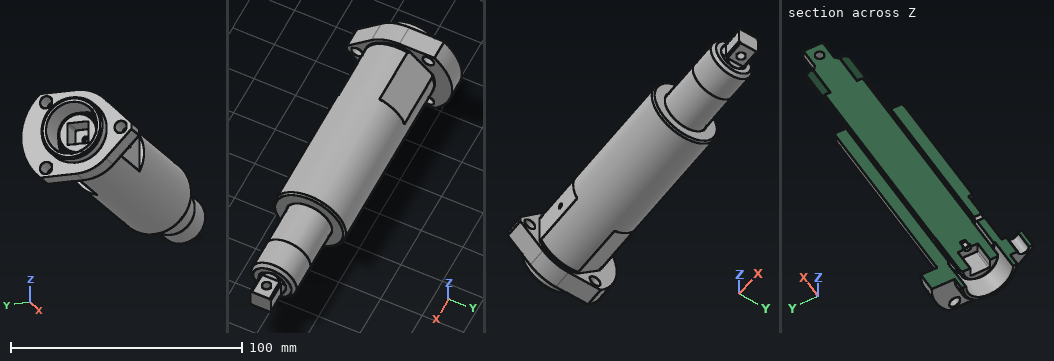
import cadquery as cq
import math

flange_front = 6.1
flange_back = 15.8
flat_end = 44.1
barrel_end = 104.5
sleeve_end = 125.5
cap_end = 140.7
square_start = 142.1
total_length = 152.2

nose_radius = 14.0
nose_chamfer = 0.8
barrel_diameter = 34.5
barrel_radius = barrel_diameter / 2
barrel_chamfer = 0.9
relief_width = 0.9
relief_depth = 0.2
mouth_radius = 11.7
mouth_end = flange_back
bore_diameter = 22.0
bore_radius = bore_diameter / 2
flange_radius = 25.4
flange_half_height = 19.0
flank_angle = 45.0
flange_hole_distance = 20.4
flange_hole_radius = 2.7

station_angles = (180.0, 47.0, -47.0)
flat_distance = 15.2

oil_hole_x = 31.5
oil_hole_radius = 1.14

sleeve_start = 31.2
sleeve_diameter = 21.8
sleeve_radius = sleeve_diameter / 2
cap_chamfer = 1.7

shaft_front = 8.0
shaft_radius = 9.5
shaft_chamfer = 0.9
neck_radius = 6.5
square_side = 9.9
socket_side = 9.7
socket_depth = 10.7
socket_corner = 0.6
pilot_radius = 1.7
pilot_depth = 1.5
pilot_bottom_radius = 1.2
pilot_bottom_depth = 4.5
cross_hole_x = 146.4
cross_hole_radius = 2.0


def x_cylinder(radius, start, end):
    """Cylinder on the X axis between two stations."""
    plane = cq.Plane(origin=(start, 0, 0), xDir=(0, 0, 1), normal=(1, 0, 0))
    return cq.Workplane(plane).circle(radius).extrude(end - start)


def x_square(side, start, end):
    """Square bar on the X axis between two stations."""
    return cq.Workplane("YZ", origin=(start, 0, 0)).rect(side, side).extrude(end - start)


def make_flange():
    """Plate with a round +Y side, level top and bottom, and straight flanks to a point on the -Y side."""
    corner_y = math.sqrt(flange_radius**2 - flange_half_height**2)
    flank = math.radians(flank_angle)
    tangent_y = -flange_half_height * math.sin(flank)
    tangent_z = flange_half_height * math.cos(flank)
    tip_angle = math.pi / 2 - flank - math.acos(flange_half_height / flange_radius)
    tip_y = -flange_radius * math.cos(tip_angle)
    tip_z = flange_radius * math.sin(tip_angle)
    arc_mid_y = -flange_half_height * math.sin(flank / 2)
    arc_mid_z = flange_half_height * math.cos(flank / 2)
    plate = (
        cq.Workplane("YZ", origin=(flange_front, 0, 0))
        .moveTo(corner_y, flange_half_height)
        .lineTo(0, flange_half_height)
        .threePointArc((arc_mid_y, arc_mid_z), (tangent_y, tangent_z))
        .lineTo(tip_y, tip_z)
        .threePointArc((-flange_radius, 0), (tip_y, -tip_z))
        .lineTo(tangent_y, -tangent_z)
        .threePointArc((arc_mid_y, -arc_mid_z), (0, -flange_half_height))
        .lineTo(corner_y, -flange_half_height)
        .threePointArc((flange_radius, 0), (corner_y, flange_half_height))
        .close()
        .extrude(flange_back - flange_front)
    )
    hole = x_cylinder(flange_hole_radius, flange_front, flange_back).translate((0, flange_hole_distance, 0))
    for angle in station_angles:
        plate = plate.cut(hole.rotate((0, 0, 0), (1, 0, 0), angle))
    return plate


def make_housing():
    """Nose, flange and relieved barrel with three flats, a stepped bore and an oil hole."""
    relief_end = flange_back + relief_width
    barrel = x_cylinder(barrel_radius, relief_end, barrel_end).faces(">X").chamfer(barrel_chamfer)
    barrel = barrel.union(x_cylinder(barrel_radius - relief_depth, flange_back, relief_end))
    flat_cut = (
        cq.Workplane("XY", origin=(flange_back, flat_distance, 0))
        .box(flat_end - flange_back, barrel_radius, barrel_diameter, centered=(False, False, True))
    )
    for angle in station_angles:
        barrel = barrel.cut(flat_cut.rotate((0, 0, 0), (1, 0, 0), angle))
    nose = x_cylinder(nose_radius, 0, flange_front).faces("<X").chamfer(nose_chamfer)
    body = nose.union(make_flange()).union(barrel)
    body = body.cut(x_cylinder(bore_radius, 0, barrel_end))
    body = body.cut(x_cylinder(mouth_radius, 0, mouth_end))
    oil_hole = cq.Workplane("XZ", origin=(oil_hole_x, 0, 0)).circle(oil_hole_radius).extrude(barrel_radius)
    return body.cut(oil_hole)


def make_sleeve():
    """Tube around the shaft, with a small clearance to the housing bore."""
    tube = x_cylinder(sleeve_radius, sleeve_start, sleeve_end)
    return tube.cut(x_cylinder(shaft_radius, sleeve_start, sleeve_end))


def make_cap():
    """Chamfered collar that closes the sleeve and holds the shaft neck."""
    cap = x_cylinder(sleeve_radius, sleeve_end, cap_end).faces(">X").edges().chamfer(cap_chamfer)
    return cap.cut(x_cylinder(neck_radius, sleeve_end, cap_end))


def make_shaft():
    """Shaft with a square socket in front and a square drive milled from its neck at the back."""
    shaft = x_cylinder(shaft_radius, shaft_front, sleeve_end).faces("<X").chamfer(shaft_chamfer)
    shoulder_length = neck_radius - square_side / 2
    shoulder_start = square_start - shoulder_length
    square = x_square(square_side, square_start, total_length)
    shoulder = (
        cq.Workplane("YZ", origin=(shoulder_start, 0, 0))
        .rect(2 * neck_radius, 2 * neck_radius)
        .workplane(offset=shoulder_length)
        .rect(square_side, square_side)
        .loft()
    )
    neck = x_cylinder(neck_radius, shoulder_start, total_length).intersect(square.union(shoulder))
    shaft = shaft.union(x_cylinder(neck_radius, sleeve_end, shoulder_start)).union(neck)
    socket_floor = shaft_front + socket_depth
    socket = x_square(socket_side, shaft_front, socket_floor).edges("|X").fillet(socket_corner)
    shaft = shaft.cut(socket)
    shaft = shaft.cut(x_cylinder(pilot_radius, socket_floor, socket_floor + pilot_depth))
    shaft = shaft.cut(x_cylinder(pilot_bottom_radius, socket_floor, socket_floor + pilot_bottom_depth))
    cross_hole = (
        cq.Workplane("XY", origin=(cross_hole_x, 0, 0)).circle(cross_hole_radius).extrude(square_side, both=True)
    )
    return shaft.cut(cross_hole)


result = cq.Compound.makeCompound(
    [make_housing().val(), make_sleeve().val(), make_cap().val(), make_shaft().val()]
)